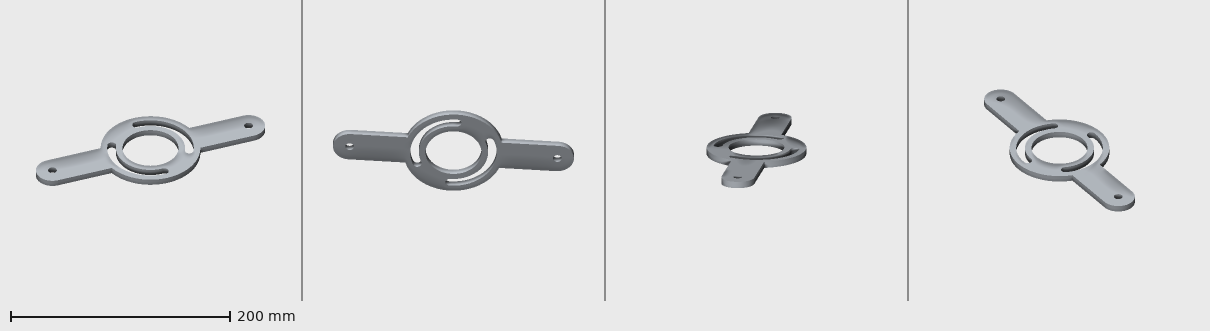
import cadquery as cq
import math

thickness = 6.0
disk_diameter = 91.0
bore_diameter = 51.0
arm_width = 30.2
arm_hole_diameter = 8.0
overall_length_y = 182.0
arm_angle = 53.1

slot_radius = 35.5
slot_width = 8.0
slot_start_angle = 27.4
slot_end_angle = 144.2

arm_hole_y = (overall_length_y - arm_width) / 2
arm_hole_distance = arm_hole_y / math.sin(math.radians(arm_angle))


def polar_point(radius, angle):
    """Point at a radius and an angle in degrees about the part centre."""
    return (
        radius * math.cos(math.radians(angle)),
        radius * math.sin(math.radians(angle)),
    )


def make_body():
    """Round disk with one straight, round-ended bar running through its centre."""
    disk = cq.Workplane("XY").circle(disk_diameter / 2).extrude(thickness)
    bar_length = 2 * arm_hole_distance + arm_width
    bar = cq.Workplane("XY").slot2D(bar_length, arm_width, arm_angle).extrude(thickness)
    return disk.union(bar)


def make_curved_slot(turn):
    """Cutter for a round-ended arc slot, turned about the part centre."""
    start = slot_start_angle + turn
    end = slot_end_angle + turn
    middle = (start + end) / 2
    inner = slot_radius - slot_width / 2
    outer = slot_radius + slot_width / 2
    start_x, start_y = polar_point(slot_radius, start)
    start_bulge_x, start_bulge_y = polar_point(slot_width / 2, start - 90)
    end_x, end_y = polar_point(slot_radius, end)
    end_bulge_x, end_bulge_y = polar_point(slot_width / 2, end + 90)
    return (
        cq.Workplane("XY")
        .moveTo(*polar_point(outer, start))
        .threePointArc(polar_point(outer, middle), polar_point(outer, end))
        .threePointArc((end_x + end_bulge_x, end_y + end_bulge_y), polar_point(inner, end))
        .threePointArc(polar_point(inner, middle), polar_point(inner, start))
        .threePointArc((start_x + start_bulge_x, start_y + start_bulge_y), polar_point(outer, start))
        .close()
        .extrude(thickness)
    )


def make_round_holes():
    """Cutters for the central bore and the hole near each arm end."""
    bore = cq.Workplane("XY").circle(bore_diameter / 2).extrude(thickness)
    arm_hole_centres = [polar_point(arm_hole_distance, arm_angle + turn) for turn in (0, 180)]
    arm_holes = (
        cq.Workplane("XY")
        .pushPoints(arm_hole_centres)
        .circle(arm_hole_diameter / 2)
        .extrude(thickness)
    )
    return bore.union(arm_holes)


result = make_body().cut(make_round_holes())
for slot_turn in (0, 180):
    result = result.cut(make_curved_slot(slot_turn))